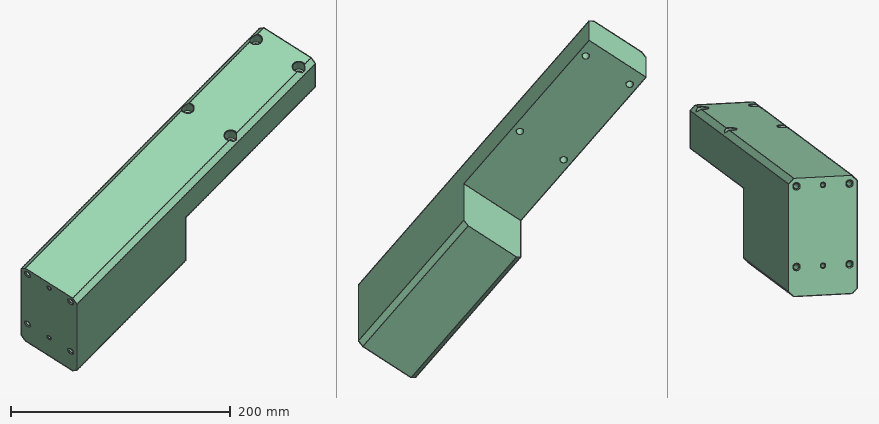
import cadquery as cq
import math

width = 65.0
length = 350.0
height = 110.0
block_length = 160.0
arm_thickness = 40.0
edge_chamfer = 5.0

hole_spacing_x = 50.0
hole_side_x = hole_spacing_x / 2

mount_diameter = 6.6
mount_bore_diameter = 11.0
mount_bore_depth = 11.0
mount_lip_chamfer = 0.5
mount_spacing_y = 100.0
mount_rear_margin = 15.0

front_spacing_z = 75.0
front_top_margin = 7.5
corner_diameter = 5.0
corner_mouth_diameter = 7.0
corner_depth = 15.0
center_diameter = 3.9
center_mouth_diameter = 5.0
center_depth = 12.0
drill_tip_angle = 118.0


def make_body():
    """Chamfered bar with the underside of the arm cut away."""
    bar = cq.Workplane("XY").box(width, length, height, centered=(True, False, False))
    bar = bar.edges("|Y").chamfer(edge_chamfer)
    arm_clearance = (
        cq.Workplane("XY")
        .box(width, length - block_length, height - arm_thickness, centered=(True, False, False))
        .translate((0, block_length, 0))
    )
    return bar.cut(arm_clearance)


def drill_mount_holes(body):
    """Four counterbored holes, bored from the top of the arm."""
    rear_y = length - mount_rear_margin
    positions = [
        (x, y)
        for x in (-hole_side_x, hole_side_x)
        for y in (rear_y, rear_y - mount_spacing_y)
    ]
    top = cq.Workplane("XY").workplane(offset=height).pushPoints(positions)
    through_holes = top.circle(mount_diameter / 2).extrude(-arm_thickness)
    bores = top.circle(mount_bore_diameter / 2).extrude(-mount_bore_depth)
    lip_radius = mount_bore_diameter / 2 + mount_lip_chamfer
    lip = cq.Solid.makeCone(lip_radius, mount_bore_diameter / 2, mount_lip_chamfer, dir=cq.Vector(0, 0, -1))
    lips = top.eachpoint(lambda place: lip.moved(place))
    return body.cut(through_holes).cut(bores).cut(lips)


def front_hole(x, z, diameter, mouth_diameter, depth):
    """Drilled hole along +Y with a 45 degree countersunk mouth and a conical tip."""
    radius = diameter / 2
    mouth_radius = mouth_diameter / 2
    countersink_depth = mouth_radius - radius
    tip_depth = radius / math.tan(math.radians(drill_tip_angle / 2))
    profile = (
        cq.Workplane("XY")
        .moveTo(0, 0)
        .lineTo(mouth_radius, 0)
        .lineTo(radius, countersink_depth)
        .lineTo(radius, depth)
        .lineTo(0, depth + tip_depth)
        .close()
    )
    return profile.revolve(360, (0, 0, 0), (0, 1, 0)).translate((x, 0, z))


def drill_front_holes(body):
    """Two rows of three blind holes: larger at the sides, smaller in the middle."""
    top_z = height - front_top_margin
    for z in (top_z, top_z - front_spacing_z):
        for x in (-hole_side_x, hole_side_x):
            body = body.cut(front_hole(x, z, corner_diameter, corner_mouth_diameter, corner_depth))
        body = body.cut(front_hole(0, z, center_diameter, center_mouth_diameter, center_depth))
    return body


result = drill_front_holes(drill_mount_holes(make_body()))